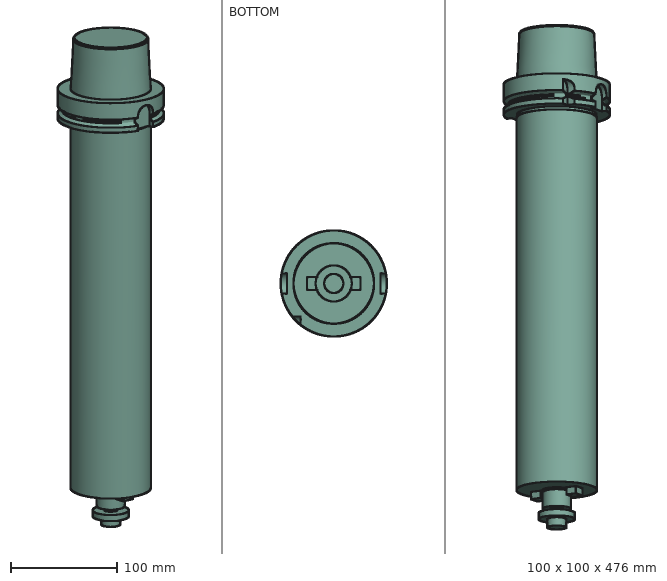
import cadquery as cq
import math

TOTAL_LENGTH = 476.0

TAPER_LENGTH = 50.0
TAPER_BASE_DIA = 75.6
TAPER_RATIO = 10.0
TAPER_TOP_DIA = TAPER_BASE_DIA - TAPER_LENGTH / TAPER_RATIO
TAPER_CHAMFER_HEIGHT = 1.5
TAPER_CHAMFER_WIDTH = 1.2

FLANGE_DIA = 100.0
FLANGE_WIDTH = 29.0
GROOVE_CENTER_DEPTH = 20.0
GROOVE_FLOOR_DIA = 91.5
GROOVE_FLOOR_WIDTH = 3.0
GROOVE_FILLET = 1.0
GROOVE_FLANK_ANGLE = 30.0

BODY_DIA = 76.0
RELIEF_DIA = 75.0
RELIEF_LENGTH = 3.0

PILOT_DIA = 27.0
PILOT_LENGTH = 18.0
PILOT_END_DIA = 26.4
PILOT_END_LENGTH = 1.0
UNDERCUT_DIA = 26.4
UNDERCUT_LENGTH = 2.0
NECK_DIA = 12.0
NECK_LENGTH = 4.0
COLLAR_DIA = 34.0
COLLAR_LENGTH = 6.0
TIP_DIA = 18.0
TIP_LENGTH = 8.0

KEY_WIDTH = 12.0
KEY_HEIGHT = 7.0
KEY_OUTER_RADIUS = 25.0
KEY_INNER_RADIUS = 14.5
KEY_CHAMFER = 0.5

SLOT_WIDTH = 19.0
SLOT_TOP_DEPTH = 5.5
SLOT_FLOOR_RADIUS = 44.0

NOTCH_WIDTH = 16.0
NOTCH_TOP_DEPTH = 5.5
NOTCH_FLOOR_DISTANCE = 31.2
NOTCH_CENTER_Y = 39.2

flange_bottom = -FLANGE_WIDTH
tip_bottom = TAPER_LENGTH - TOTAL_LENGTH
collar_bottom = tip_bottom + TIP_LENGTH
collar_top = collar_bottom + COLLAR_LENGTH
pilot_bottom = collar_top + NECK_LENGTH
body_bottom = pilot_bottom + PILOT_LENGTH


def turned_arbor():
    """Revolve the complete turned outline about Z."""
    flange_radius = FLANGE_DIA / 2
    floor_radius = GROOVE_FLOOR_DIA / 2
    half_floor = GROOVE_FLOOR_WIDTH / 2
    half_mouth = half_floor + (flange_radius - floor_radius) * math.tan(math.radians(GROOVE_FLANK_ANGLE))
    groove_z = -GROOVE_CENTER_DEPTH
    chamfer_base_radius = TAPER_TOP_DIA / 2 + TAPER_CHAMFER_HEIGHT / TAPER_RATIO / 2
    outline = [
        (0, TAPER_LENGTH),
        (chamfer_base_radius - TAPER_CHAMFER_WIDTH, TAPER_LENGTH),
        (chamfer_base_radius, TAPER_LENGTH - TAPER_CHAMFER_HEIGHT),
        (TAPER_BASE_DIA / 2, 0),
        (flange_radius, 0),
        (flange_radius, groove_z + half_mouth),
        (floor_radius, groove_z + half_floor),
        (floor_radius, groove_z - half_floor),
        (flange_radius, groove_z - half_mouth),
        (flange_radius, flange_bottom),
        (RELIEF_DIA / 2, flange_bottom),
        (RELIEF_DIA / 2, flange_bottom - RELIEF_LENGTH),
        (BODY_DIA / 2, flange_bottom - RELIEF_LENGTH),
        (BODY_DIA / 2, body_bottom),
        (UNDERCUT_DIA / 2, body_bottom),
        (UNDERCUT_DIA / 2, body_bottom - UNDERCUT_LENGTH),
        (PILOT_DIA / 2, body_bottom - UNDERCUT_LENGTH),
        (PILOT_DIA / 2, pilot_bottom + PILOT_END_LENGTH),
        (PILOT_END_DIA / 2, pilot_bottom),
        (NECK_DIA / 2, pilot_bottom),
        (NECK_DIA / 2, collar_top),
        (COLLAR_DIA / 2, collar_top),
        (COLLAR_DIA / 2, collar_bottom),
        (TIP_DIA / 2, collar_bottom),
        (TIP_DIA / 2, tip_bottom),
        (0, tip_bottom),
    ]
    arbor = cq.Workplane("XZ").polyline(outline).close().revolve(360, (0, 0), (0, 1))
    near_floor = cq.selectors.BoxSelector(
        (-flange_radius, -flange_radius, groove_z - half_floor - GROOVE_FILLET / 10),
        (flange_radius, flange_radius, groove_z + half_floor + GROOVE_FILLET / 10),
    )
    return arbor.edges(near_floor).edges("%CIRCLE").fillet(GROOVE_FILLET)


def drive_key(side):
    """One rectangular key on the body end face; side is -1 or +1 along X."""
    length = KEY_OUTER_RADIUS - KEY_INNER_RADIUS
    mid_radius = KEY_INNER_RADIUS + length / 2
    return (
        cq.Workplane("XY", origin=(side * mid_radius, 0, body_bottom))
        .rect(length, KEY_WIDTH)
        .extrude(-KEY_HEIGHT)
        .faces(">X" if side > 0 else "<X")
        .edges("|Z")
        .chamfer(KEY_CHAMFER)
    )


def arched_cutter(width, top_depth, floor_x, center_y):
    """Slot cutter with a round upper end, from a flat floor at floor_x outward, open at the underside."""
    radius = width / 2
    spring_z = -top_depth - radius
    outward = math.copysign(FLANGE_DIA, floor_x)
    return (
        cq.Workplane("YZ", origin=(floor_x, center_y, 0))
        .moveTo(-radius, flange_bottom)
        .lineTo(-radius, spring_z)
        .threePointArc((0, -top_depth), (radius, spring_z))
        .lineTo(radius, flange_bottom)
        .close()
        .extrude(outward)
    )


def driving_slot(side):
    """Cutter for a driving slot; side is -1 or +1 along X."""
    return arched_cutter(SLOT_WIDTH, SLOT_TOP_DEPTH, side * SLOT_FLOOR_RADIUS, 0)


def orientation_notch():
    """Cutter for the notch that bites into the rim beside the -X driving slot."""
    return arched_cutter(NOTCH_WIDTH, NOTCH_TOP_DEPTH, -NOTCH_FLOOR_DISTANCE, NOTCH_CENTER_Y)


result = turned_arbor()
for x_side in (-1, 1):
    result = result.union(drive_key(x_side)).cut(driving_slot(x_side))
result = result.cut(orientation_notch())